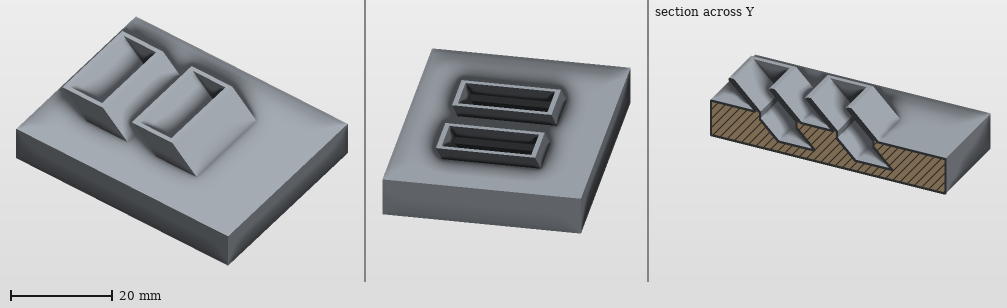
import cadquery as cq

plate_length = 52.0
plate_width = 40.0
plate_height = 8.0

block_height = 6.0
block_length = 10.0
block_width = 20.0
wall = 1.0
first_block_left = 4.0
block_pitch = 17.0
block_count = 2

straight_depth = 1.5
lower_slant_depth = 4.0


def extrude_outline(points, width):
    """Extrude an XZ outline symmetrically about the plate's centre line."""
    return cq.Workplane("XZ").polyline(points).close().extrude(width / 2, both=True)


def slanted_block(left):
    """Solid block whose upper left edge is at X = left."""
    right = left + block_length
    top = plate_height + block_height
    outline = [
        (left, top),
        (right, top),
        (right + block_height, plate_height),
        (left + block_height, plate_height),
    ]
    return extrude_outline(outline, block_width)


def pocket(block_left):
    """Zigzag cavity running from the block's top into the plate."""
    left = block_left + wall
    length = block_length - 2 * wall
    straight_bottom = plate_height - straight_depth
    left_wall = [
        (left, plate_height + block_height),
        (left + block_height, plate_height),
        (left + block_height, straight_bottom),
        (left + block_height + lower_slant_depth, straight_bottom - lower_slant_depth),
    ]
    right_wall = [(x + length, z) for x, z in reversed(left_wall)]
    return extrude_outline(left_wall + right_wall, block_width - 2 * wall)


result = cq.Workplane("XY").box(plate_length, plate_width, plate_height, centered=(False, True, False))

for index in range(block_count):
    block_left = first_block_left + index * block_pitch
    result = result.union(slanted_block(block_left)).cut(pocket(block_left))